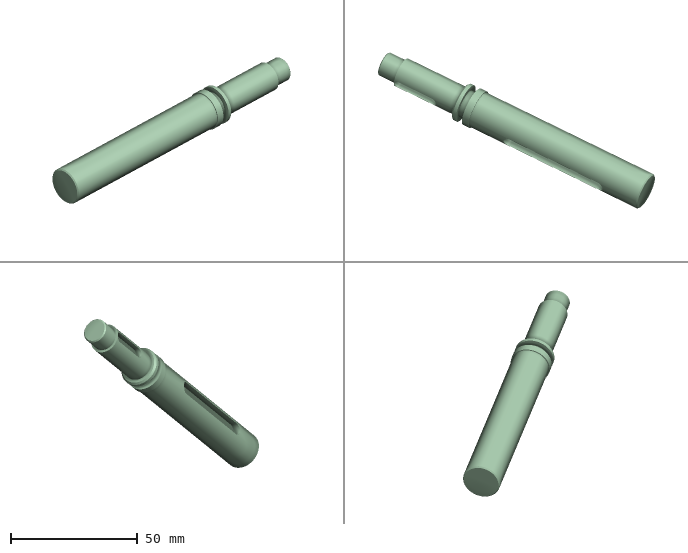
import cadquery as cq

total_length = 119.0
back_end = total_length / 2
front_end = -total_length / 2

tip_diameter = 10.0
journal_diameter = 12.0
groove_diameter = 11.4
collar_diameter = 16.0
body_diameter = 15.0

tip_length = 8.0
journal_length = 27.0
flange_length = 2.1
groove_length = 2.9
collar_length = 3.0
body_length = total_length - (tip_length + journal_length + flange_length + groove_length + collar_length)

end_chamfer = 0.5
flange_chamfer = 0.7

journal_key_width = 4.0
journal_key_length = 19.0
journal_key_depth = 2.5
journal_key_setback = 0.1
body_key_width = 5.0
body_key_length = 45.0
body_key_depth = 3.0
body_key_front_gap = 15.5


def section(diameter, length, back):
    """Cylinder along Y whose back face lies at Y = back."""
    return cq.Workplane("XZ", origin=(0, back, 0)).circle(diameter / 2).extrude(length)


def keyway(width, length, depth, back, shaft_diameter):
    """Round-ended cutter reaching the given depth below the -X side of a shaft."""
    floor_x = depth - shaft_diameter / 2
    return (
        cq.Workplane("YZ", origin=(floor_x, back - length / 2, 0))
        .slot2D(length, width)
        .extrude(-shaft_diameter)
    )


tip = section(tip_diameter, tip_length, back_end).faces(">Y").chamfer(end_chamfer)
journal_back = back_end - tip_length
journal = section(journal_diameter, journal_length, journal_back)
flange_back = journal_back - journal_length
flange = section(collar_diameter, flange_length, flange_back).faces(">Y").chamfer(flange_chamfer)
groove_back = flange_back - flange_length
groove = section(groove_diameter, groove_length, groove_back)
collar_back = groove_back - groove_length
collar = section(collar_diameter, collar_length, collar_back)
body_back = collar_back - collar_length
body = section(body_diameter, body_length, body_back).faces("<Y").chamfer(end_chamfer)

shaft = tip.union(journal).union(flange).union(groove).union(collar).union(body)

journal_key_back = journal_back - journal_key_setback
body_key_back = front_end + body_key_front_gap + body_key_length
journal_keyway = keyway(
    journal_key_width, journal_key_length, journal_key_depth, journal_key_back, journal_diameter
)
body_keyway = keyway(body_key_width, body_key_length, body_key_depth, body_key_back, body_diameter)

result = shaft.cut(journal_keyway).cut(body_keyway)